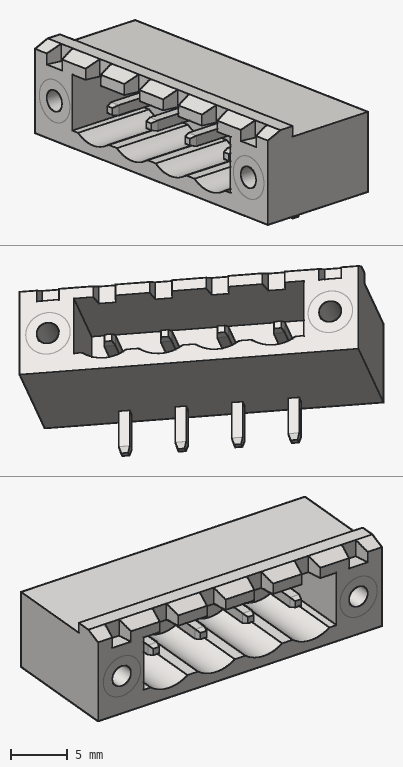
import cadquery as cq

PITCH = 5.08
PIN_COUNT = 4
SLOT_COUNT = PIN_COUNT + 2
LENGTH = SLOT_COUNT * PITCH
DEPTH = 12.0
HEIGHT = 8.6

LIP_DEPTH = 3.0
LIP_STEP = 1.0
LIP_BEVEL_DEPTH = 1.5
LIP_BEVEL_DROP = 0.6

LIP_THICKNESS = 1.65
CAVITY_WIDTH = 20.7
CAVITY_DEPTH = 8.5
FLOOR_Z = 1.65
SCALLOP_WIDTH = 3.95
SCALLOP_BOTTOM_Z = 1.0

SLOT_FRONT_WIDTH = 2.0
SLOT_BACK_WIDTH = 1.5
SLOT_DEPTH = LIP_BEVEL_DEPTH

PIN_SIZE = 1.0
PIN_TIP_SIZE = 0.65
PIN_TAPER = 0.6
PIN_DROP = 4.0
PIN_Z = 3.8
PIN_FRONT_Y = 2.0
PIN_LEG_INSET = 2.0
PIN_LEG_Y = DEPTH - PIN_LEG_INSET

BUSHING_DIAMETER = 4.0
BORE_DIAMETER = 2.0
BORE_DEPTH = CAVITY_DEPTH


def row_positions(count):
    """X positions of a centred row at the pin pitch."""
    return [(i - (count - 1) / 2) * PITCH for i in range(count)]


PIN_XS = row_positions(PIN_COUNT)
SLOT_XS = row_positions(SLOT_COUNT)
BUSHING_XS = (SLOT_XS[0], SLOT_XS[-1])


def front_plane():
    """Sketch plane on the front face: x runs along -X, y along Z, and it extrudes toward +Y."""
    return cq.Workplane(cq.Plane(origin=(0, 0, 0), xDir=(-1, 0, 0), normal=(0, 1, 0)))


def make_housing():
    profile = [
        (0, 0),
        (DEPTH, 0),
        (DEPTH, HEIGHT - LIP_STEP),
        (LIP_DEPTH, HEIGHT - LIP_STEP),
        (LIP_DEPTH, HEIGHT),
        (LIP_BEVEL_DEPTH, HEIGHT),
        (0, HEIGHT - LIP_BEVEL_DROP),
    ]
    return cq.Workplane("YZ").polyline(profile).close().extrude(LENGTH / 2, both=True)


def make_cavity():
    """Plug cavity whose floor has one shallow arc under each pin."""
    half_width = CAVITY_WIDTH / 2
    ceiling_z = HEIGHT - LIP_THICKNESS
    outline = front_plane().moveTo(-half_width, ceiling_z).lineTo(-half_width, FLOOR_Z)
    for x in PIN_XS:
        outline = outline.lineTo(x - SCALLOP_WIDTH / 2, FLOOR_Z)
        outline = outline.threePointArc((x, SCALLOP_BOTTOM_Z), (x + SCALLOP_WIDTH / 2, FLOOR_Z))
    outline = outline.lineTo(half_width, FLOOR_Z).lineTo(half_width, ceiling_z)
    return outline.close().extrude(CAVITY_DEPTH)


def make_slot(x):
    outline = [
        (x - SLOT_FRONT_WIDTH / 2, 0),
        (x + SLOT_FRONT_WIDTH / 2, 0),
        (x + SLOT_BACK_WIDTH / 2, SLOT_DEPTH),
        (x - SLOT_BACK_WIDTH / 2, SLOT_DEPTH),
    ]
    slot_floor = cq.Workplane("XY").workplane(offset=HEIGHT - LIP_THICKNESS)
    return slot_floor.polyline(outline).close().extrude(LIP_THICKNESS)


def make_bar(start, end):
    """Square bar from start to end, tapered to a smaller square at the end."""
    span = cq.Vector(*end) - cq.Vector(*start)
    shank_length = span.Length - PIN_TAPER
    plane = cq.Plane(origin=start, xDir=(1, 0, 0), normal=span.toTuple())
    shank = cq.Workplane(plane).rect(PIN_SIZE, PIN_SIZE).extrude(shank_length)
    tip = (
        cq.Workplane(plane)
        .workplane(offset=shank_length)
        .rect(PIN_SIZE, PIN_SIZE)
        .workplane(offset=PIN_TAPER)
        .rect(PIN_TIP_SIZE, PIN_TIP_SIZE)
        .loft(ruled=True)
    )
    return shank.union(tip)


def make_pin(x):
    corner = (x, PIN_LEG_Y, PIN_Z)
    contact = make_bar(corner, (x, PIN_FRONT_Y, PIN_Z))
    leg = make_bar(corner, (x, PIN_LEG_Y, -PIN_DROP))
    return contact.union(leg)


def make_end_cylinder(x, diameter):
    """Cylinder reaching back from the front face at height PIN_Z."""
    return front_plane().center(-x, PIN_Z).circle(diameter / 2).extrude(BORE_DEPTH)


result = make_housing().cut(make_cavity())
for slot_x in SLOT_XS:
    result = result.cut(make_slot(slot_x))
for pin_x in PIN_XS:
    result = result.union(make_pin(pin_x))
for bushing_x in BUSHING_XS:
    bore = make_end_cylinder(bushing_x, BORE_DIAMETER)
    bushing = make_end_cylinder(bushing_x, BUSHING_DIAMETER).cut(bore)
    result = result.cut(bore, clean=False).union(bushing, clean=False)